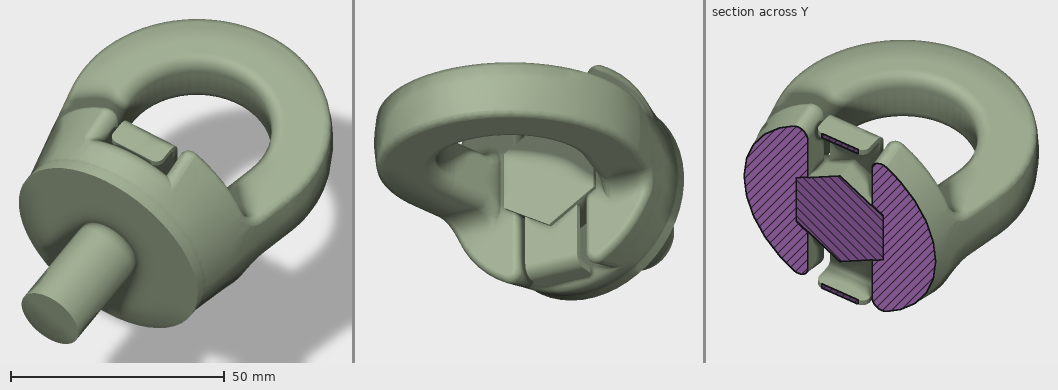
import cadquery as cq
import math


total_length = 95.0
base_radius = 50.0 / 2
base_band_height = 3.0
ring_outer_radius = 31.9

shank_radius = 15.9 / 2
shank_length = 25.0
head_top_y = 20.0
head_across_flats = 24.1

ring_thickness = 14.0
opening_radius = 17.5
opening_fillet = 3.0
base_top_y = 19.0
shoulder_fillet = 4.0
rim_fillet = 1.5

slot_width = 17.8
slot_floor_y = 10.9
slot_mouth_fillet = 2.8

clip_width = 14.0
clip_span = 50.2
clip_thickness = 1.5
clip_bend_radius = 1.5
clip_corner_radius = 2.0

ring_top_y = total_length - shank_length
ring_center_y = ring_top_y - ring_outer_radius
half_ring = ring_thickness / 2
clip_end_y = slot_floor_y
clip_underside_y = base_top_y - clip_thickness
beyond = 2 * ring_outer_radius
margin = 0.1

band_to_center = ring_center_y - base_band_height
taper = math.atan2(band_to_center, base_radius) - math.acos(
    ring_outer_radius / math.hypot(band_to_center, base_radius)
)


def point_on_ring(radius, angle):
    """Point in XY at an angle above +X, on a circle about the ring centre."""
    return (radius * math.cos(angle), ring_center_y + radius * math.sin(angle))


def edges_on_side(solid, side, low, high):
    """Edges centred between two corners given for +Z, or between their mirror images for side -1."""
    ends = sorted((side * low[2], side * high[2]))
    return solid.edges(
        cq.selectors.BoxSelector((low[0], low[1], ends[0]), (high[0], high[1], ends[1]))
    )


def make_outer_form():
    """Base band, cone and tangent sphere, turned about Y."""
    return (
        cq.Workplane("XY")
        .lineTo(base_radius, 0)
        .lineTo(base_radius, base_band_height)
        .lineTo(*point_on_ring(ring_outer_radius, -taper))
        .threePointArc(point_on_ring(ring_outer_radius, math.pi / 4), (0, ring_top_y))
        .close()
        .revolve(360, (0, 0), (0, 1))
    )


def make_side_cutter():
    """Space beside the ring on +Z, with a concave round down to the top of the base."""
    arc_center_y = base_top_y + shoulder_fillet
    arc_center_z = half_ring + shoulder_fillet
    arc_reach = shoulder_fillet * math.sqrt(0.5)
    return (
        cq.Workplane("YZ")
        .moveTo(beyond + ring_top_y, half_ring)
        .lineTo(arc_center_y, half_ring)
        .threePointArc(
            (arc_center_y - arc_reach, arc_center_z - arc_reach),
            (base_top_y, arc_center_z),
        )
        .lineTo(base_top_y, beyond)
        .lineTo(beyond + ring_top_y, beyond)
        .close()
        .extrude(beyond, both=True)
    )


def make_opening_cutter():
    """Round-topped opening whose sides run parallel to the cone, down to the slot floor."""
    right_x, side_y = point_on_ring(opening_radius, -taper)
    bottom_x = right_x - (side_y - slot_floor_y) * math.tan(taper)
    return (
        cq.Workplane("XY")
        .moveTo(bottom_x, slot_floor_y)
        .lineTo(right_x, side_y)
        .threePointArc((0, ring_center_y + opening_radius), (-right_x, side_y))
        .lineTo(-bottom_x, slot_floor_y)
        .close()
        .extrude(beyond, both=True)
    )


def make_blank():
    """Ring and base with the rounded opening; the base is closed again below its top face."""
    side_cutter = make_side_cutter()
    form = make_outer_form().cut(side_cutter).cut(side_cutter.mirror("XY"))
    base = form.intersect(
        cq.Workplane("XY").box(beyond, base_top_y, beyond, centered=(True, False, True))
    )
    ring = form.cut(make_opening_cutter())
    reach = opening_radius + 5 * margin
    for side in (1, -1):
        opening_edges = edges_on_side(
            ring,
            side,
            (-reach, base_top_y - margin, half_ring - margin),
            (reach, ring_center_y + 0.75 * opening_radius, base_radius),
        )
        ring = opening_edges.edges("not |X").fillet(opening_fillet)
    return ring.union(base)


def make_eye():
    """Blank with the rounded clip slot across it and a rounded outer rim."""
    slot = (
        cq.Workplane("XY")
        .box(slot_width, base_top_y, beyond, centered=(True, False, True))
        .translate((0, slot_floor_y, 0))
    )
    eye = make_blank().cut(slot)
    half_mouth = slot_width / 2 + margin
    for side in (1, -1):
        eye = edges_on_side(
            eye,
            side,
            (-half_mouth, slot_floor_y - margin, base_radius - slot_mouth_fillet),
            (half_mouth, base_top_y - margin, beyond),
        ).fillet(slot_mouth_fillet)
    rim_top_arc = cq.selectors.BoxSelector(
        (-0.95, ring_center_y + 0.9 * opening_radius, half_ring - margin),
        (0.95, ring_top_y, half_ring + margin),
    )
    return eye.edges(rim_top_arc).fillet(rim_fillet)


def make_bolt():
    """Shank and hexagonal head resting on the slot floor, two flats facing +X and -X."""
    across_corners = head_across_flats / math.cos(math.pi / 6)
    shank = (
        cq.Workplane("XZ", origin=(0, slot_floor_y, 0))
        .circle(shank_radius)
        .extrude(slot_floor_y + shank_length)
    )
    head = (
        cq.Workplane("XZ", origin=(0, slot_floor_y, 0))
        .transformed(rotate=(0, 0, 90))
        .polygon(6, across_corners)
        .extrude(slot_floor_y - head_top_y)
    )
    return shank.union(head)


def make_clip():
    """Strip along Z with both ends bent down towards -Y, free corners rounded."""
    strip = (
        cq.Workplane("XY")
        .box(clip_width, base_top_y - clip_end_y, clip_span, centered=(True, False, True))
        .translate((0, clip_end_y, 0))
        .edges("|X and >Y")
        .fillet(clip_bend_radius + clip_thickness)
        .edges("|Z and <Y")
        .fillet(clip_corner_radius)
    )
    hollow = (
        cq.Workplane("XY")
        .box(
            2 * clip_width,
            clip_underside_y - clip_end_y,
            clip_span - 2 * clip_thickness,
            centered=(True, False, True),
        )
        .translate((0, clip_end_y, 0))
        .edges("|X and >Y")
        .fillet(clip_bend_radius)
    )
    return strip.cut(hollow)


clip = make_clip()
solid_bolt = make_bolt()
eye = make_eye().cut(solid_bolt)
bolt = solid_bolt.cut(clip)

result = cq.Compound.makeCompound([*eye.solids().vals(), *bolt.solids().vals(), *clip.solids().vals()])